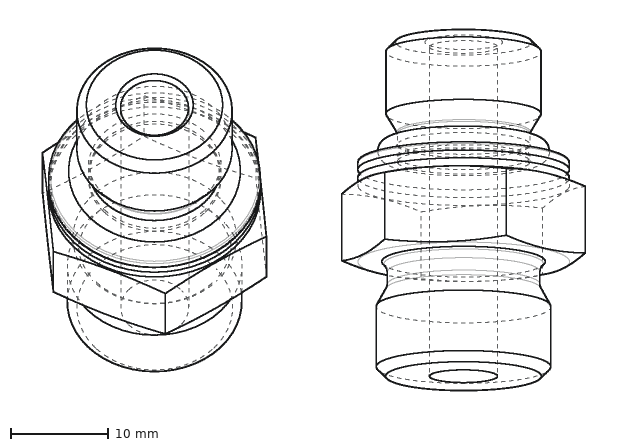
import cadquery as cq
import math

TOTAL_HEIGHT = 35.0
LOWER_THREAD_TOP = 7.3
LOWER_NECK_BOTTOM = 9.38
HEX_BOTTOM = 12.0
HEX_TOP = 20.0
COLLAR_TOP = 22.5
UPPER_NECK_TOP = 25.5
UPPER_THREAD_BOTTOM = 27.48

LOWER_THREAD_RADIUS = 18.0 / 2
LOWER_NECK_RADIUS = 15.7 / 2
UPPER_THREAD_RADIUS = 16.0 / 2
UPPER_NECK_RADIUS = 13.7 / 2
COLLAR_RADIUS = 21.8 / 2
BORE_RADIUS = 7.0 / 2

THREAD_CHAMFER = 0.98
BORE_CHAMFER = 0.5
COLLAR_EDGE_RADIUS = 0.18
LOWER_NECK_BLEND_RADIUS = 1.05
UPPER_NECK_BLEND_RADIUS = 0.35
LOWER_FLARE_WIDTH = 0.55
LOWER_FLARE_BLEND_RADIUS = 1.2
LOWER_NECK_TOP = HEX_BOTTOM - LOWER_FLARE_WIDTH

GROOVE_HEIGHT = 0.8
GROOVE_DEPTH = 0.2
GROOVE_CENTRE_Z = 21.2

ACROSS_FLATS = 22.0
ACROSS_CORNERS = ACROSS_FLATS / math.cos(math.radians(30))
HEX_CHAMFER_HEIGHT = 0.5

RING_SECTION_RADIUS = 2.2 / 2
RING_OUTER_RADIUS = 17.68 / 2
RING_CENTRE_RADIUS = RING_OUTER_RADIUS - RING_SECTION_RADIUS
RING_CENTRE_Z = COLLAR_TOP + RING_SECTION_RADIUS

SELECTION_MARGIN = 0.05


def revolve_profile(profile):
    """Turn a closed (radius, height) profile around the Z axis."""
    return profile.close().revolve(360, (0, 0, 0), (0, 1, 0))


def blend_edge_at(body, height, radius):
    """Round the circular edge of a turned body at the given height."""
    reach = ACROSS_CORNERS / 2
    edge_slab = cq.selectors.BoxSelector(
        (-reach, -reach, height - SELECTION_MARGIN),
        (reach, reach, height + SELECTION_MARGIN),
    )
    return body.edges("%CIRCLE").edges(edge_slab).fillet(radius)


def lower_stud():
    """Lower threaded end with its undercut, flared where it meets the hexagon."""
    stud = revolve_profile(
        cq.Workplane("XZ")
        .lineTo(LOWER_THREAD_RADIUS - THREAD_CHAMFER, 0)
        .lineTo(LOWER_THREAD_RADIUS, THREAD_CHAMFER)
        .lineTo(LOWER_THREAD_RADIUS, LOWER_THREAD_TOP)
        .lineTo(LOWER_NECK_RADIUS, LOWER_NECK_BOTTOM)
        .lineTo(LOWER_NECK_RADIUS, LOWER_NECK_TOP)
        .lineTo(LOWER_NECK_RADIUS + LOWER_FLARE_WIDTH, HEX_BOTTOM)
        .lineTo(0, HEX_BOTTOM)
    )
    stud = blend_edge_at(stud, LOWER_NECK_BOTTOM, LOWER_NECK_BLEND_RADIUS)
    return blend_edge_at(stud, LOWER_NECK_TOP, LOWER_FLARE_BLEND_RADIUS)


def hexagon():
    """Hexagon with its corners turned off conically at both ends."""
    prism = (
        cq.Workplane("XY")
        .workplane(offset=HEX_BOTTOM)
        .polygon(6, ACROSS_CORNERS)
        .extrude(HEX_TOP - HEX_BOTTOM)
        .rotate((0, 0, 0), (0, 0, 1), 30)
    )
    corner_radius = ACROSS_CORNERS / 2
    turned_envelope = revolve_profile(
        cq.Workplane("XZ")
        .moveTo(0, HEX_BOTTOM)
        .lineTo(COLLAR_RADIUS, HEX_BOTTOM)
        .lineTo(corner_radius, HEX_BOTTOM + HEX_CHAMFER_HEIGHT)
        .lineTo(corner_radius, HEX_TOP - HEX_CHAMFER_HEIGHT)
        .lineTo(COLLAR_RADIUS, HEX_TOP)
        .lineTo(0, HEX_TOP)
    )
    return prism.intersect(turned_envelope)


def collar():
    """Round collar above the hexagon, with a shallow groove around it."""
    groove_bottom = GROOVE_CENTRE_Z - GROOVE_HEIGHT / 2
    groove_top = GROOVE_CENTRE_Z + GROOVE_HEIGHT / 2
    disc = revolve_profile(
        cq.Workplane("XZ")
        .moveTo(0, HEX_TOP)
        .lineTo(COLLAR_RADIUS, HEX_TOP)
        .lineTo(COLLAR_RADIUS, groove_bottom)
        .threePointArc((COLLAR_RADIUS - GROOVE_DEPTH, GROOVE_CENTRE_Z), (COLLAR_RADIUS, groove_top))
        .lineTo(COLLAR_RADIUS, COLLAR_TOP)
        .lineTo(0, COLLAR_TOP)
    )
    return disc.faces(">Z").edges().fillet(COLLAR_EDGE_RADIUS)


def upper_stud():
    """Upper threaded end with the neck that carries the O-ring."""
    stud = revolve_profile(
        cq.Workplane("XZ")
        .moveTo(0, COLLAR_TOP)
        .lineTo(UPPER_NECK_RADIUS, COLLAR_TOP)
        .lineTo(UPPER_NECK_RADIUS, UPPER_NECK_TOP)
        .lineTo(UPPER_THREAD_RADIUS, UPPER_THREAD_BOTTOM)
        .lineTo(UPPER_THREAD_RADIUS, TOTAL_HEIGHT - THREAD_CHAMFER)
        .lineTo(UPPER_THREAD_RADIUS - THREAD_CHAMFER, TOTAL_HEIGHT)
        .lineTo(0, TOTAL_HEIGHT)
    )
    return blend_edge_at(stud, UPPER_NECK_TOP, UPPER_NECK_BLEND_RADIUS)


def bore():
    """Through bore, chamfered at its upper mouth."""
    mouth_radius = BORE_RADIUS + BORE_CHAMFER
    return revolve_profile(
        cq.Workplane("XZ")
        .lineTo(BORE_RADIUS, 0)
        .lineTo(BORE_RADIUS, TOTAL_HEIGHT - BORE_CHAMFER)
        .lineTo(mouth_radius, TOTAL_HEIGHT)
        .lineTo(0, TOTAL_HEIGHT)
    )


def make_o_ring():
    """O-ring resting on the collar around the upper neck."""
    return (
        cq.Workplane("XZ")
        .moveTo(RING_CENTRE_RADIUS, RING_CENTRE_Z)
        .circle(RING_SECTION_RADIUS)
        .revolve(360, (0, 0, 0), (0, 1, 0))
    )


def make_fitting(ring):
    """One-piece fitting body; the ring presses its own seat into the neck."""
    body = lower_stud().union(hexagon()).union(collar()).union(upper_stud())
    return body.cut(bore()).cut(ring)


o_ring = make_o_ring()
fitting = make_fitting(o_ring)

result = cq.Compound.makeCompound([fitting.val(), o_ring.val()])